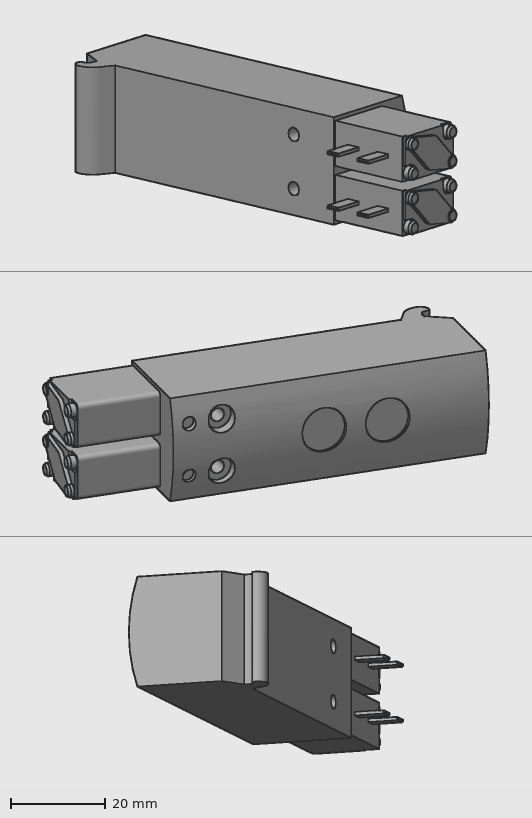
import cadquery as cq
import math


body_length = 71.9
body_height = 24.1
body_width = 23.7
crown_rise = 1.9

wall_x = 5.4
slope_angle = 30.0
hook_drop = 5.3
lip_x = 3.0
lip_top_y = -2.5
throat_radius = 1.4
lip_corner_radius = 0.6
toe_radius = 1.9
heel_start_x = 5.1
heel_radius = 4.35
heel_angle = 60.6

button_diameter = 10.0
button_depth = 0.9
button_centers_x = (23.1, 37.5)
mount_x = 60.65
mount_diameter = 3.0
mount_head_diameter = 6.0
mount_head_depth = 3.0
lamp_x = 68.1
lamp_diameter = 3.0
lamp_depth = 1.85

coil_pitch = 11.9
coil_bottom = 0.6
coil_top = 16.5
coil_width = 10.0
coil_end_x = 90.7
coil_edge_radius = 1.0

seat_thickness = 0.65
seat_inset = 0.2
bar_thickness = 1.0
overall_length = 92.6
screw_diameter = 3.0
screw_inset = 1.8
screw_chamfer_length = 0.6
screw_chamfer_inset = 0.4
notch_radius = 1.8
bar_kink_offset = 1.0
bar_kink_drop = 1.1
bar_edge_radius = 0.9

pin_centers_x = (76.9, 85.2)
pin_width = 3.0
pin_thickness = 0.7
pin_tip_y = -6.4
pin_chamfer_length = 0.5
pin_chamfer_inset = 0.23

coil_center_y = (coil_bottom + coil_top) / 2
coil_height = coil_top - coil_bottom
coil_centers_z = (-coil_pitch / 2, coil_pitch / 2)
screw_y = coil_height / 2 - screw_inset
screw_z = coil_width / 2 - screw_inset


def on_circle(center_x, center_y, radius, angle):
    """Point on a circle at an angle in degrees."""
    turn = math.radians(angle)
    return center_x + radius * math.cos(turn), center_y + radius * math.sin(turn)


def make_body():
    """Side profile with the hook, trimmed to the crowned cross-section."""
    lip_side_top_y = lip_top_y - lip_corner_radius
    toe = (lip_x + toe_radius, -hook_drop + toe_radius)
    heel = (heel_start_x, -hook_drop + heel_radius)
    heel_end = on_circle(*heel, heel_radius, heel_angle - 90)
    heel_top_x = heel_end[0] - heel_end[1] / math.tan(math.radians(heel_angle))
    throat = (wall_x - throat_radius, lip_top_y + throat_radius)
    lip_corner = (lip_x + lip_corner_radius, lip_side_top_y)
    side = (
        cq.Workplane("XY")
        .workplane(offset=-body_width / 2)
        .moveTo(0, body_height)
        .lineTo(0, wall_x * math.tan(math.radians(slope_angle)))
        .lineTo(wall_x, 0)
        .lineTo(wall_x, throat[1])
        .threePointArc(on_circle(*throat, throat_radius, -45), (throat[0], lip_top_y))
        .lineTo(lip_corner[0], lip_top_y)
        .threePointArc(on_circle(*lip_corner, lip_corner_radius, 135), (lip_x, lip_side_top_y))
        .lineTo(lip_x, toe[1])
        .threePointArc(on_circle(*toe, toe_radius, 225), (toe[0], -hook_drop))
        .lineTo(heel_start_x, -hook_drop)
        .threePointArc(on_circle(*heel, heel_radius, heel_angle / 2 - 90), heel_end)
        .lineTo(heel_top_x, 0)
        .lineTo(body_length, 0)
        .lineTo(body_length, body_height)
        .close()
        .extrude(body_width)
    )
    shoulder_y = body_height - crown_rise
    section = (
        cq.Workplane("YZ")
        .moveTo(-hook_drop, -body_width / 2)
        .lineTo(shoulder_y, -body_width / 2)
        .threePointArc((body_height, 0), (shoulder_y, body_width / 2))
        .lineTo(-hook_drop, body_width / 2)
        .close()
        .extrude(body_length)
    )
    return side.intersect(section)


def bore(x, z, diameter, floor_y):
    """Round cutter that opens through the crown and stops at floor_y."""
    return (
        cq.Workplane("XZ", origin=(x, floor_y, z))
        .circle(diameter / 2)
        .extrude(floor_y - body_height)
    )


def make_coil(center_z):
    """Coil block with its two +Y edges rounded."""
    return (
        cq.Workplane("YZ", origin=(body_length, coil_center_y, center_z))
        .rect(coil_height, coil_width)
        .extrude(coil_end_x - body_length)
        .edges("|X and >Y")
        .fillet(coil_edge_radius)
    )


def make_seat(center_z):
    """Thin plate on the coil end, inset along Y and cleared around the two screws that stand on the coil."""
    seat = (
        cq.Workplane("YZ", origin=(coil_end_x, coil_center_y, center_z))
        .rect(coil_height - 2 * seat_inset, coil_width)
        .extrude(seat_thickness)
        .edges("|X")
        .fillet(coil_edge_radius)
    )
    for side in (-1, 1):
        clearance = (
            cq.Workplane("YZ", origin=(coil_end_x, coil_center_y, center_z))
            .center(side * (screw_y + screw_inset), side * (screw_z + screw_inset))
            .rect(2 * (screw_inset + notch_radius), 2 * (screw_inset + notch_radius))
            .extrude(seat_thickness)
            .edges("|X")
            .fillet(notch_radius)
        )
        seat = seat.cut(clearance)
    return seat


def make_bar(center_z):
    """Diagonal bar between the other two screws, with one rounded kink in each long side."""
    radius = screw_diameter / 2
    half_side = [
        (-screw_y, screw_z + radius),
        (bar_kink_offset, screw_z + radius - bar_kink_drop),
        (screw_y + radius, -screw_z),
    ]
    outline = half_side + [(-y, -z) for y, z in half_side]
    return (
        cq.Workplane("YZ", origin=(coil_end_x + seat_thickness, coil_center_y, center_z))
        .polyline(outline)
        .close()
        .extrude(bar_thickness)
        .edges("|X")
        .fillet(bar_edge_radius)
    )


def make_screws(center_z):
    """Four screw heads with bevelled rims, one near each corner of the coil end."""
    return (
        cq.Workplane("YZ", origin=(coil_end_x, coil_center_y, center_z))
        .rect(2 * screw_y, 2 * screw_z, forConstruction=True)
        .vertices()
        .circle(screw_diameter / 2)
        .extrude(overall_length - coil_end_x)
        .faces(">X")
        .edges()
        .chamfer(screw_chamfer_length, screw_chamfer_inset)
    )


def make_pin(x, center_z):
    """Flat pin below the coil, bevelled around its tip."""
    return (
        cq.Workplane("XZ", origin=(x, coil_bottom, center_z))
        .rect(pin_width, pin_thickness)
        .extrude(coil_bottom - pin_tip_y)
        .faces("<Y")
        .edges()
        .chamfer(pin_chamfer_length, pin_chamfer_inset)
    )


result = make_body()
for button_x in button_centers_x:
    result = result.cut(bore(button_x, 0, button_diameter, body_height - button_depth))

for center_z in coil_centers_z:
    result = result.cut(bore(mount_x, center_z, mount_diameter, 0))
    result = result.cut(bore(mount_x, center_z, mount_head_diameter, body_height - mount_head_depth))
    result = result.cut(bore(lamp_x, center_z, lamp_diameter, body_height - lamp_depth))
    result = result.union(make_coil(center_z))
    result = result.union(make_seat(center_z))
    result = result.union(make_bar(center_z))
    result = result.union(make_screws(center_z))
    for pin_x in pin_centers_x:
        result = result.union(make_pin(pin_x, center_z))